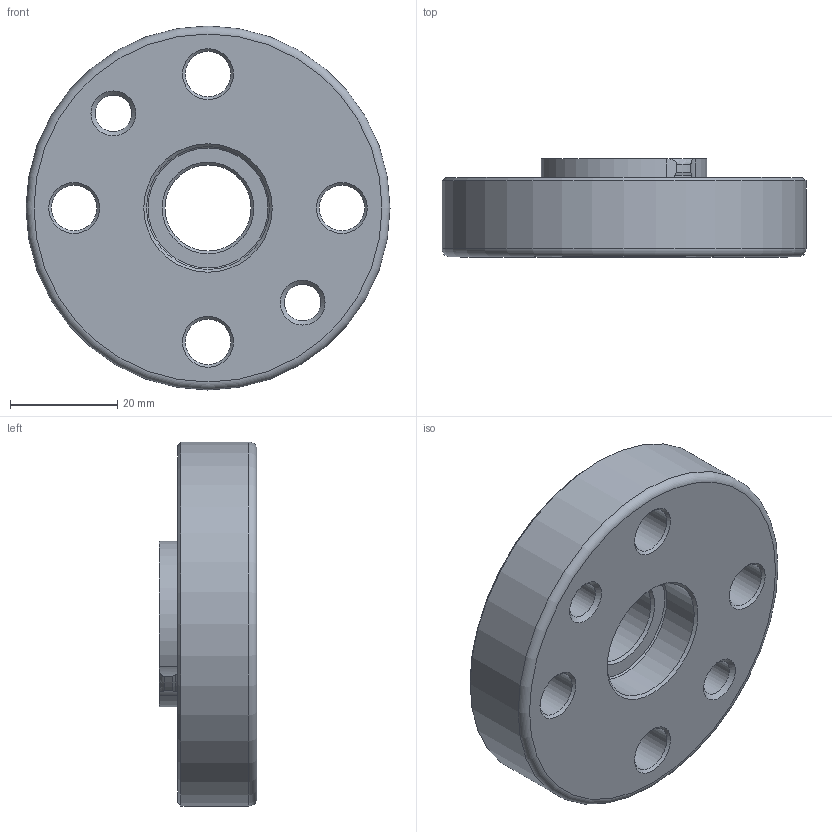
import cadquery as cq
import math

flange_diameter = 68.0
flange_thickness = 14.8
front_fillet = 1.5
back_chamfer = 0.6

spigot_diameter = 31.0
spigot_length = 3.5
spigot_radius = spigot_diameter / 2
total_length = flange_thickness + spigot_length

bore_diameter = 16.1
recess_diameter = 23.0
recess_depth = 8.0
recess_corner_chamfer = 0.3
bore_chamfer = 0.5

pitch_radius = 25.0
clearance_hole_diameter = 8.5
clearance_hole_chamfer = 0.5
clearance_hole_angles = (0, 90, 180, 270)
jacking_hole_diameter = 6.8
jacking_hole_chamfer = 0.8
jacking_hole_angles = (135, 315)

lug_angles = (45, 225)
lug_land_rise = 0.42
lug_foot_rise = 0.26
lug_land_radius = spigot_radius + lug_land_rise
lug_foot_radius = spigot_radius + lug_foot_rise
lug_land_half_angle = 6.8
lug_base_half_angle = 13.9
lug_foot_height = 0.4
lug_undercut_height = 0.6
lug_land_height = 1.5


def front_plane(y):
    """Sketch plane at the given Y, with local x along X, local y along Z and normal along -Y."""
    return cq.Workplane("XZ", origin=(0, y, 0))


def disc(diameter, y_start, length):
    """Cylinder about the Y axis, growing toward +Y."""
    return front_plane(y_start).circle(diameter / 2).extrude(-length)


def polar(radius, degrees):
    """Point in the XZ plane at a radius and an angle from +X toward +Z."""
    angle = math.radians(degrees)
    return (radius * math.cos(angle), radius * math.sin(angle))


def turned(outline):
    """Solid turned about the Y axis from a closed outline in the XY plane."""
    return outline.close().revolve(360, (0, 0, 0), (0, 1, 0))


def make_body():
    """Flange with a rounded front rim and a chamfered back rim, joined to the spigot."""
    flange = disc(flange_diameter, 0, flange_thickness)
    flange = flange.faces("<Y").edges().fillet(front_fillet)
    flange = flange.faces(">Y").edges().chamfer(back_chamfer)
    return flange.union(disc(spigot_diameter, flange_thickness, spigot_length))


def make_centre_bore():
    """Turned cutter: chamfered front recess with a bevelled corner, then the through bore."""
    bore_radius = bore_diameter / 2
    recess_radius = recess_diameter / 2
    outline = [
        (0, 0),
        (recess_radius + bore_chamfer, 0),
        (recess_radius, bore_chamfer),
        (recess_radius, recess_depth - recess_corner_chamfer),
        (recess_radius - recess_corner_chamfer, recess_depth),
        (bore_radius + bore_chamfer, recess_depth),
        (bore_radius, recess_depth + bore_chamfer),
        (bore_radius, total_length),
        (0, total_length),
    ]
    return turned(cq.Workplane("XY").polyline(outline))


def make_flange_hole(degrees, diameter, chamfer):
    """Through-hole cutter with a chamfered mouth at the front face."""
    radius = diameter / 2
    outline = [
        (0, 0),
        (radius + chamfer, 0),
        (radius, chamfer),
        (radius, flange_thickness),
        (0, flange_thickness),
    ]
    x, z = polar(pitch_radius, degrees)
    return turned(cq.Workplane("XY").polyline(outline)).translate((x, 0, z))


def flank_midpoint():
    """Radius and half angle of the middle of a lug flank.

    The flank is an arc that leaves the spigot tangentially and rises outward to the edge of the land.
    """
    spread = math.radians(lug_base_half_angle - lug_land_half_angle)
    run = lug_land_radius * math.sin(spread)
    rise = lug_land_radius * math.cos(spread) - spigot_radius
    flank_radius = (run**2 + rise**2) / (2 * rise)
    half_turn = math.asin(run / flank_radius) / 2
    mid_run = flank_radius * math.sin(half_turn)
    mid_height = spigot_radius + flank_radius * (1 - math.cos(half_turn))
    mid_half_angle = lug_base_half_angle - math.degrees(math.atan2(mid_run, mid_height))
    return math.hypot(mid_run, mid_height), mid_half_angle


def make_lug_sector(degrees):
    """Sector over the whole spigot length, bounded by the two flanks and the land."""
    mid_radius, mid_half_angle = flank_midpoint()
    land_start = polar(lug_land_radius, degrees - lug_land_half_angle)
    land_end = polar(lug_land_radius, degrees + lug_land_half_angle)
    return (
        front_plane(flange_thickness)
        .lineTo(*polar(spigot_radius, degrees - lug_base_half_angle))
        .threePointArc(polar(mid_radius, degrees - mid_half_angle), land_start)
        .threePointArc(polar(lug_land_radius, degrees), land_end)
        .threePointArc(
            polar(mid_radius, degrees + mid_half_angle),
            polar(spigot_radius, degrees + lug_base_half_angle),
        )
        .close()
        .extrude(-spigot_length)
    )


def make_lug_envelope():
    """Turned limit of the lugs: foot, undercut slope, land, then a rounded lead-in at the end face."""
    undercut_start = flange_thickness + lug_foot_height
    land_start = undercut_start + lug_undercut_height
    land_end = land_start + lug_land_height
    outline = (
        cq.Workplane("XY")
        .polyline([
            (0, flange_thickness),
            (lug_foot_radius, flange_thickness),
            (lug_foot_radius, undercut_start),
            (lug_land_radius, land_start),
            (lug_land_radius, land_end),
        ])
        .tangentArcPoint((spigot_radius, total_length), relative=False)
        .lineTo(0, total_length)
    )
    return turned(outline)


result = make_body()
lug_envelope = make_lug_envelope()
for lug_angle in lug_angles:
    result = result.union(make_lug_sector(lug_angle).intersect(lug_envelope))
result = result.cut(make_centre_bore())
for hole_angle in clearance_hole_angles:
    result = result.cut(make_flange_hole(hole_angle, clearance_hole_diameter, clearance_hole_chamfer))
for hole_angle in jacking_hole_angles:
    result = result.cut(make_flange_hole(hole_angle, jacking_hole_diameter, jacking_hole_chamfer))